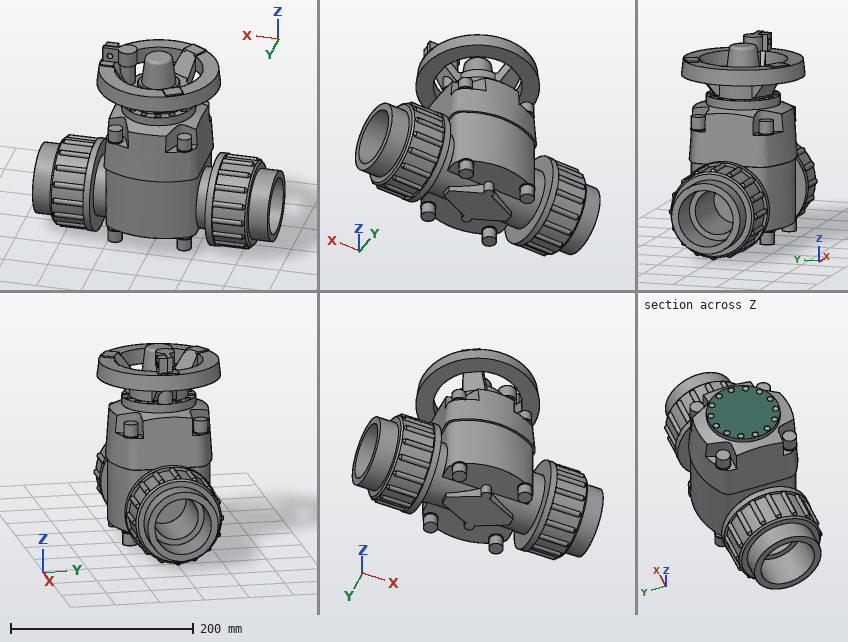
import cadquery as cq
import math


overall_length = 266
pipe_end_dia = 78.7
socket_dia = 63.0
socket_depth = 39.5
bore_dia = 50.0
bore_end_x = 26.5
neck_dia = 68.5
nut_inner_x = 65.5
nut_flange_dia = 103.0
nut_flange_thickness = 7.5
nut_dia = 96.0
nut_length = 46.0
nut_chamfer = 2.0
grip_count = 16
grip_dia = 6.5
grip_circle_radius = 47.5
grip_setback = 2.5
grip_tip = 2.7

body_half_x = 51.0
body_half_y = 55.9
body_corner_x = 44.7
body_corner_y = 43.0
body_corner_radius = 13.3
body_bottom_z = -27.7
body_top_z = 44.5
bonnet_step = 2.0
bonnet_taper_angle = 4
bonnet_top_z = 104.8
roof_slope = 0.35

bolt_x = 39.0
bolt_head_y = 39.0
bolt_nut_y = 40.5
bolt_dia = 15.7
washer_dia = 16.8
washer_thickness = 1.3
pocket_floor_z = 79.8
bolt_head_top_z = 95.0
bolt_bottom_z = -42.8
pocket_side_y = 27.7
pocket_root_x = 31.5
pocket_mouth_x = 20.5
pocket_mouth_y = 54.0
pocket_outer = 79.8
pocket_fillet = 8.5

foot_apex_y = 23.7
foot_half_x = 40
foot_end_half_y = 5.0
foot_nose_dia = 11.2
foot_bottom_z = -40.5

collar_dia = 81.5
collar_top_z = 114.6
index_hole_count = 14
index_hole_dia = 6.6
index_hole_depth = 5.3
index_circle_radius = 36.0

hub_dia = 65.0
hub_top_z = 133.3
rim_bottom_dia = 136.0
rim_top_dia = 132.0
rim_inner_dia = 97.4
rim_bottom_z = 137.0
rim_top_z = 154.3
spoke_angles = (0, 120, 240)
spoke_width = 20.0
spoke_axis_width = 38.3
spoke_bottom_z = 116.5
spoke_pad_height = 1.5
spoke_pad_end = 64.6
spoke_run = 15.5
cap_disc_dia = 46.8
cap_disc_height = 4.5
cap_disc_chamfer = 1.3
cap_base_dia = 37.8
cap_shoulder_dia = 29.8
cap_top_z = 169.2
cap_fillet = 3.7

post_x = 35.0
post_dia = 16.5
post_head_dia = 20.7
post_head_bottom_z = 157
post_top_z = 173.5
tab_end_x = 62.8
tab_half_y = 3.0
block_start_x = 48.1
block_end_x = 61.5
block_outer_y = 12.5
block_top_z = 172.6
lock_hole_x = 54.5
lock_hole_z = 163.9
lock_hole_dia = 6.5


def post(dia, bottom_z, top_z, x=0, y=0):
    """Upright cylinder between two heights."""
    return cq.Workplane("XY", origin=(x, y, bottom_z)).circle(dia / 2).extrude(top_z - bottom_z)


def rod(dia, start_x, end_x):
    """Cylinder on the pipe axis between two X positions."""
    return cq.Workplane("YZ", origin=(start_x, 0, 0)).circle(dia / 2).extrude(end_x - start_x)


def union_nut():
    """Union nut on the -X side, with grip ribs around it."""
    flange_x = -nut_inner_x - nut_flange_thickness
    face_x = flange_x - nut_length + nut_flange_thickness
    nut = rod(nut_dia, face_x, flange_x).faces("<X").chamfer(nut_chamfer)
    nut = nut.union(rod(nut_flange_dia, flange_x, -nut_inner_x))
    grip = rod(grip_dia, face_x + grip_setback, flange_x + grip_tip).faces("<X").chamfer(grip_tip)
    grip = grip.translate((0, 0, grip_circle_radius))
    for i in range(grip_count):
        nut = nut.union(grip.rotate((0, 0, 0), (1, 0, 0), i * 360 / grip_count))
    return nut


def pipe_bore():
    """Socket and blind bore on the -X side."""
    end_x = -overall_length / 2
    socket = rod(socket_dia, end_x, end_x + socket_depth)
    return socket.union(rod(bore_dia, end_x, -bore_end_x))


def body_block(offset, bottom_z, top_z, taper):
    """Block with flat X sides, bowed Y sides and rounded corners, grown by an offset."""
    sagitta = body_half_y - body_corner_y
    bow_radius = (body_corner_x ** 2 + sagitta ** 2) / (2 * sagitta)
    side_x = body_half_x + offset
    front_y = body_half_y + offset
    radius = bow_radius + offset
    edge_y = front_y - radius + math.sqrt(radius ** 2 - side_x ** 2)
    outline = (
        cq.Sketch()
        .segment((-side_x, -edge_y), (-side_x, edge_y))
        .arc((-side_x, edge_y), (0, front_y), (side_x, edge_y))
        .segment((side_x, edge_y), (side_x, -edge_y))
        .arc((side_x, -edge_y), (0, -front_y), (-side_x, -edge_y))
        .assemble()
        .vertices()
        .fillet(body_corner_radius)
    )
    workplane = cq.Workplane("XY", origin=(0, 0, bottom_z)).placeSketch(outline)
    return workplane.extrude(top_z - bottom_z, taper=taper)


def roof_envelope():
    """Space under the conical roof of the bonnet."""
    flat_radius = collar_dia / 2
    outer_radius = 2 * body_half_x
    eave_z = bonnet_top_z - roof_slope * (outer_radius - flat_radius)
    return (
        cq.Workplane("XZ")
        .moveTo(0, 0)
        .lineTo(outer_radius, 0)
        .lineTo(outer_radius, eave_z)
        .lineTo(flat_radius, bonnet_top_z)
        .lineTo(0, bonnet_top_z)
        .close()
        .revolve(360, (0, 0, 0), (0, 1, 0))
    )


def corner_pocket():
    """Open bolt pocket in the +X +Y corner of the bonnet."""
    wall_lean = (pocket_root_x - pocket_mouth_x) / (pocket_mouth_y - pocket_side_y)
    outer_x = pocket_mouth_x - wall_lean * (pocket_outer - pocket_mouth_y)
    return (
        cq.Workplane("XY", origin=(0, 0, pocket_floor_z))
        .moveTo(pocket_root_x, pocket_side_y)
        .lineTo(pocket_outer, pocket_side_y)
        .lineTo(pocket_outer, pocket_outer)
        .lineTo(outer_x, pocket_outer)
        .close()
        .extrude(bonnet_top_z - pocket_floor_z)
        .edges("|Z")
        .edges("<Y")
        .edges("<X")
        .fillet(pocket_fillet)
    )


def mirrored_corners(shape):
    """The shape repeated in all four corners."""
    pair = shape.union(shape.mirror("YZ"))
    return pair.union(pair.mirror("XZ"))


def corner_bolt():
    """Bolt head on its washer above, nut under its washer below, in the +X +Y corner."""
    head = post(bolt_dia, pocket_floor_z, bolt_head_top_z, bolt_x, bolt_head_y)
    head_washer_top_z = pocket_floor_z + washer_thickness
    head_washer = post(washer_dia, pocket_floor_z, head_washer_top_z, bolt_x, bolt_head_y)
    end_nut = post(bolt_dia, bolt_bottom_z, body_bottom_z, bolt_x, bolt_nut_y)
    nut_washer_bottom_z = body_bottom_z - washer_thickness
    nut_washer = post(washer_dia, nut_washer_bottom_z, body_bottom_z, bolt_x, bolt_nut_y)
    return head.union(head_washer).union(end_nut).union(nut_washer)


def foot():
    """Diamond-shaped foot with cut-off ends and a round nose on each apex."""
    diamond = (
        cq.Workplane("XY", origin=(0, 0, foot_bottom_z))
        .moveTo(-foot_half_x, -foot_end_half_y)
        .lineTo(0, -foot_apex_y)
        .lineTo(foot_half_x, -foot_end_half_y)
        .lineTo(foot_half_x, foot_end_half_y)
        .lineTo(0, foot_apex_y)
        .lineTo(-foot_half_x, foot_end_half_y)
        .close()
        .extrude(-foot_bottom_z)
    )
    nose = post(foot_nose_dia, foot_bottom_z, 0, 0, foot_apex_y)
    return diamond.union(nose).union(nose.mirror("XZ"))


def collar():
    """Collar standing through the bonnet roof, with a ring of blind index holes."""
    holes = (
        cq.Workplane("XY", origin=(0, 0, collar_top_z))
        .polarArray(index_circle_radius, 0, 360, index_hole_count)
        .circle(index_hole_dia / 2)
        .extrude(-index_hole_depth)
    )
    return post(collar_dia, body_top_z, collar_top_z).cut(holes)


def rim():
    """Handwheel ring with a conical outside."""
    return (
        cq.Workplane("XZ")
        .moveTo(rim_inner_dia / 2, rim_bottom_z)
        .lineTo(rim_bottom_dia / 2, rim_bottom_z)
        .lineTo(rim_top_dia / 2, rim_top_z)
        .lineTo(rim_inner_dia / 2, rim_top_z)
        .close()
        .revolve(360, (0, 0, 0), (0, 1, 0))
    )


def spoke():
    """Sloping spoke along +X, wider at the hub, ending in a pad on the rim."""
    hub_radius = hub_dia / 2
    slope = (rim_bottom_z - spoke_bottom_z) / spoke_run
    pad_z = rim_top_z + spoke_pad_height
    pad_start = hub_radius + (pad_z - hub_top_z) / slope
    rim_radius = rim_inner_dia / 2
    side_profile = (
        cq.Workplane("XZ")
        .moveTo(0, spoke_bottom_z)
        .lineTo(hub_radius, spoke_bottom_z)
        .lineTo(hub_radius + spoke_run, rim_bottom_z)
        .lineTo(spoke_pad_end, rim_bottom_z)
        .lineTo(spoke_pad_end, pad_z)
        .lineTo(pad_start, pad_z)
        .lineTo(hub_radius, hub_top_z)
        .lineTo(0, hub_top_z)
        .close()
        .extrude(spoke_axis_width, both=True)
    )
    plan = (
        cq.Workplane("XY", origin=(0, 0, spoke_bottom_z))
        .moveTo(0, -spoke_axis_width / 2)
        .lineTo(rim_radius, -spoke_width / 2)
        .lineTo(spoke_pad_end, -spoke_width / 2)
        .lineTo(spoke_pad_end, spoke_width / 2)
        .lineTo(rim_radius, spoke_width / 2)
        .lineTo(0, spoke_axis_width / 2)
        .close()
        .extrude(pad_z - spoke_bottom_z)
    )
    return side_profile.intersect(plan)


def cap():
    """Conical cap with a rounded top, on a chamfered disc."""
    disc_top_z = hub_top_z + cap_disc_height
    disc = post(cap_disc_dia, hub_top_z, disc_top_z).faces(">Z").chamfer(cap_disc_chamfer)
    cone = (
        cq.Workplane("XY", origin=(0, 0, disc_top_z))
        .circle(cap_base_dia / 2)
        .workplane(offset=cap_top_z - disc_top_z)
        .circle(cap_shoulder_dia / 2)
        .loft()
        .faces(">Z")
        .edges()
        .fillet(cap_fillet)
    )
    return disc.union(cone)


def handwheel():
    """Hub, rim, three spokes and cap."""
    wheel = post(hub_dia, collar_top_z, hub_top_z).union(rim())
    for angle in spoke_angles:
        wheel = wheel.union(spoke().rotate((0, 0, 0), (0, 0, 1), angle))
    return wheel.union(cap())


def box_between(low, high):
    """Box given by two opposite corners."""
    size = [b - a for a, b in zip(low, high)]
    return cq.Workplane("XY").box(*size, centered=False).translate(low)


def locking_post():
    """Post through the spoke, with a tab and a padlock block that share a cross hole."""
    head = post(post_head_dia, post_head_bottom_z, post_top_z, post_x)
    tab = box_between((post_x, -tab_half_y, post_head_bottom_z), (tab_end_x, tab_half_y, post_top_z))
    block = box_between((block_start_x, -block_outer_y, rim_top_z), (block_end_x, -tab_half_y, block_top_z))
    lock_hole = (
        cq.Workplane("XZ", origin=(lock_hole_x, 0, lock_hole_z))
        .circle(lock_hole_dia / 2)
        .extrude(2 * block_outer_y, both=True)
    )
    arm = head.union(tab).union(block).cut(lock_hole)
    return post(post_dia, collar_top_z, post_top_z, post_x).union(arm)


bonnet = body_block(bonnet_step, body_top_z, bonnet_top_z, bonnet_taper_angle)
bonnet = bonnet.intersect(roof_envelope()).cut(mirrored_corners(corner_pocket()))

nut = union_nut()
bore = pipe_bore()

valve = rod(neck_dia, -nut_inner_x, nut_inner_x)
valve = valve.union(rod(pipe_end_dia, -overall_length / 2, -nut_inner_x))
valve = valve.union(rod(pipe_end_dia, nut_inner_x, overall_length / 2))
valve = valve.union(nut).union(nut.mirror("YZ"))
valve = valve.union(body_block(0, body_bottom_z, body_top_z, 0)).union(foot())
valve = valve.cut(bore).cut(bore.mirror("YZ"))
valve = valve.union(bonnet).union(mirrored_corners(corner_bolt()))
result = valve.union(collar()).union(handwheel()).union(locking_post())